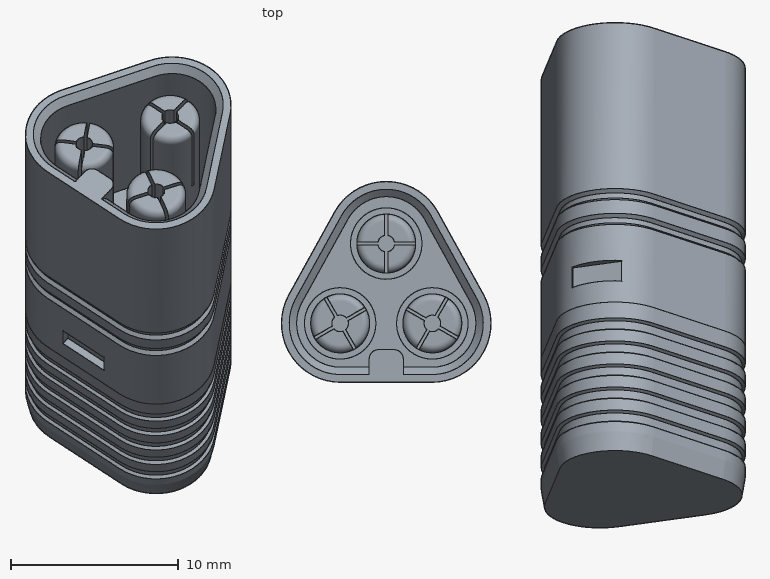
import cadquery as cq
import math

TOTAL_HEIGHT = 27.5
CORNER_RADIUS = 3.52
OUTER_WIDTH = 12.5
OUTER_DEPTH = 12.0
CORNER_X = OUTER_WIDTH / 2 - CORNER_RADIUS
FRONT_Y = -OUTER_DEPTH / 2
BACK_Y = OUTER_DEPTH / 2
FRONT_CORNER_Y = FRONT_Y + CORNER_RADIUS
BACK_CORNER_Y = BACK_Y - CORNER_RADIUS

BOOT_TOP = 9.5
FOOT_TAPER_HEIGHT = 1.15
FOOT_TAPER_INSET = 0.2
RIB_GROOVE_COUNT = 5
RIB_PITCH = 1.48
LOWEST_RIB_GROOVE = 1.8
RIB_GROOVE_HEIGHT = 0.75
RIB_GROOVE_DEPTH = 0.2
RIB_GROOVE_SLOPE = 0.1

SEAL_GROOVE_COUNT = 2
SEAL_PITCH = 1.6
LOWEST_SEAL_GROOVE = 14.5
SEAL_GROOVE_HEIGHT = 0.72
SEAL_GROOVE_DEPTH = 0.22
SEAL_GROOVE_SLOPE = 0.2
SOCKET_FLOOR = 16.5
SOCKET_WALL = 0.9
RIM_WALL = 0.47
RIM_BEVEL_HEIGHT = 0.45
KEY_WIDTH = 2.04
KEY_REACH = 1.95
KEY_RADIUS = 0.55
LATCH_WIDTH = 3.14
LATCH_BOTTOM = 10.85
LATCH_HEIGHT = 1.32
LATCH_DEPTH = 0.5

PIN_COUNT = 3
PIN_SPACING = 5.5
PIN_CIRCLE_RADIUS = PIN_SPACING / math.sqrt(3)
PIN_CIRCLE_Y = FRONT_CORNER_Y + PIN_CIRCLE_RADIUS / 2
PIN_DIAMETER = 3.52
PIN_BASE_DIAMETER = 4.25
PIN_TOP = 26.5
PIN_TIP_RADIUS = 0.45
PIN_BORE_DIAMETER = 1.0
PIN_SLOT_WIDTH = 0.2
PIN_SLOT_DEPTH = 5.5


def outline(z, inset=0.0):
    """Closed rounded triangle at height z, moved inward by inset all round."""
    radius = CORNER_RADIUS - inset
    side_angle = math.atan2(CORNER_X, BACK_CORNER_Y - FRONT_CORNER_Y)

    def arc_point(center_x, center_y, angle):
        return center_x + radius * math.cos(angle), center_y + radius * math.sin(angle)

    def mirrored(point):
        return -point[0], point[1]

    front_end = (CORNER_X, FRONT_CORNER_Y - radius)
    front_middle = arc_point(CORNER_X, FRONT_CORNER_Y, (side_angle - math.pi / 2) / 2)
    side_start = arc_point(CORNER_X, FRONT_CORNER_Y, side_angle)
    side_end = arc_point(0, BACK_CORNER_Y, side_angle)
    return (
        cq.Workplane("XY", origin=(0, 0, z))
        .moveTo(*mirrored(front_end))
        .lineTo(*front_end)
        .threePointArc(front_middle, side_start)
        .lineTo(*side_end)
        .threePointArc((0, BACK_CORNER_Y + radius), mirrored(side_end))
        .lineTo(*mirrored(side_start))
        .threePointArc(mirrored(front_middle), mirrored(front_end))
        .close()
    )


def straight_layer(bottom, top, inset=0.0):
    return outline(bottom, inset).extrude(top - bottom)


def sloped_layer(bottom, top, bottom_inset, top_inset):
    wires = [outline(bottom, bottom_inset).val(), outline(top, top_inset).val()]
    return cq.Workplane(cq.Solid.makeLoft(wires, True))


def stacked_body(levels):
    """Solid through (height, inset) levels listed from bottom to top."""
    layers = []
    for (bottom, bottom_inset), (top, top_inset) in zip(levels, levels[1:]):
        if bottom_inset == top_inset:
            layers.append(straight_layer(bottom, top, bottom_inset))
        else:
            layers.append(sloped_layer(bottom, top, bottom_inset, top_inset))
    body = layers[0]
    for layer in layers[1:]:
        body = body.union(layer)
    return body


def groove_levels(lowest, count, pitch, height, depth, slope):
    """Levels of evenly spaced grooves with a flat floor and sloping sides."""
    levels = []
    for index in range(count):
        bottom = lowest + index * pitch
        top = bottom + height
        levels += [(bottom, 0.0), (bottom + slope, depth), (top - slope, depth), (top, 0.0)]
    return levels


def make_boot():
    grooves = groove_levels(
        LOWEST_RIB_GROOVE,
        RIB_GROOVE_COUNT,
        RIB_PITCH,
        RIB_GROOVE_HEIGHT,
        RIB_GROOVE_DEPTH,
        RIB_GROOVE_SLOPE,
    )
    foot = [(0.0, FOOT_TAPER_INSET), (FOOT_TAPER_HEIGHT, 0.0)]
    return stacked_body(foot + grooves + [(BOOT_TOP, 0.0)])


def make_socket():
    """Cavity above the socket floor, widening at the rim."""
    bevel_bottom = TOTAL_HEIGHT - RIM_BEVEL_HEIGHT
    cavity = straight_layer(SOCKET_FLOOR, bevel_bottom, SOCKET_WALL)
    return cavity.union(sloped_layer(bevel_bottom, TOTAL_HEIGHT, SOCKET_WALL, RIM_WALL))


def make_key():
    """Rounded rib on the front wall that keeps a mating plug the right way round."""
    length = KEY_REACH - RIM_WALL
    return (
        cq.Workplane("XY", origin=(0, FRONT_Y + RIM_WALL + length / 2, SOCKET_FLOOR))
        .rect(KEY_WIDTH, length)
        .extrude(TOTAL_HEIGHT - SOCKET_FLOOR)
        .edges("|Z and >Y")
        .fillet(KEY_RADIUS)
    )


def make_latch_recesses():
    """Matching recesses in the front flat and the back corner."""
    return (
        cq.Workplane("XY", origin=(0, 0, LATCH_BOTTOM))
        .pushPoints([(0, FRONT_Y), (0, BACK_Y)])
        .rect(LATCH_WIDTH, 2 * LATCH_DEPTH)
        .extrude(LATCH_HEIGHT)
    )


def at_pin_positions(body):
    """Copies of a body at the three pin positions, each turned to face outward."""
    copies = []
    for index in range(PIN_COUNT):
        turn = index * 360 / PIN_COUNT
        copy = body.translate((0, PIN_CIRCLE_RADIUS, 0)).rotate((0, 0, 0), (0, 0, 1), turn)
        copies.append(copy.translate((0, PIN_CIRCLE_Y, 0)))
    return copies


def make_pin_base():
    base = cq.Workplane("XY", origin=(0, 0, BOOT_TOP))
    return base.circle(PIN_BASE_DIAMETER / 2).extrude(SOCKET_FLOOR - BOOT_TOP)


def make_pin():
    """Round contact with a wide base and a rounded tip, bored and split by a cross slot."""
    shank = (
        cq.Workplane("XY", origin=(0, 0, SOCKET_FLOOR))
        .circle(PIN_DIAMETER / 2)
        .extrude(PIN_TOP - SOCKET_FLOOR)
        .faces(">Z")
        .edges()
        .fillet(PIN_TIP_RADIUS)
    )
    slot_plane = cq.Workplane("XY", origin=(0, 0, PIN_TOP - PIN_SLOT_DEPTH))
    bore = slot_plane.circle(PIN_BORE_DIAMETER / 2).extrude(PIN_SLOT_DEPTH)
    slot_across = slot_plane.rect(PIN_DIAMETER, PIN_SLOT_WIDTH).extrude(PIN_SLOT_DEPTH)
    slot_along = slot_plane.rect(PIN_SLOT_WIDTH, PIN_DIAMETER).extrude(PIN_SLOT_DEPTH)
    return make_pin_base().union(shank).cut(bore).cut(slot_across).cut(slot_along)


def make_housing():
    grooves = groove_levels(
        LOWEST_SEAL_GROOVE,
        SEAL_GROOVE_COUNT,
        SEAL_PITCH,
        SEAL_GROOVE_HEIGHT,
        SEAL_GROOVE_DEPTH,
        SEAL_GROOVE_SLOPE,
    )
    shell = stacked_body([(BOOT_TOP, 0.0)] + grooves + [(TOTAL_HEIGHT, 0.0)])
    body = shell.cut(make_socket()).union(make_key()).cut(make_latch_recesses())
    for pin_hole in at_pin_positions(make_pin_base()):
        body = body.cut(pin_hole)
    return body


boot = make_boot()
housing = make_housing()
pins = at_pin_positions(make_pin())

result = cq.Compound.makeCompound([boot.val(), housing.val(), *[pin.val() for pin in pins]])